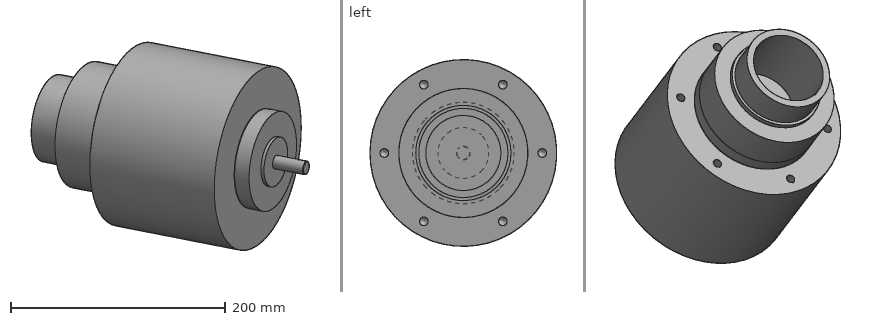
import cadquery as cq
import math

COLLAR_START = 30.0
HUB_START = 35.0
HUB_JOINT = 73.0
DRUM_START = 86.0
DRUM_END = 217.5
BOSS_END = 233.3
PAD_END = 236.5
SHAFT_END = 268.7
NECK_WIDTH = 0.5

NOSE_DIA = 83.3
COLLAR_DIA = 89.0
FRONT_HUB_DIA = 120.5
REAR_HUB_DIA = 120.7
DRUM_DIA = 174.7
BOSS_DIA = 95.0
PAD_DIA = 47.5
SHAFT_DIA = 13.0
BORE_DIA = 70.1
NECK_STEP = 0.3

SHAFT_CHAMFER = 0.5

HOLE_COUNT = 6
HOLE_DIA = 8.0
HOLE_CIRCLE_DIA = 147.5
HOLE_DEPTH = 21.5
DRILL_POINT_ANGLE = 118.0


def turned_body():
    """Stack of coaxial cylinders, each running from the previous one to its own end."""
    sections = [
        (COLLAR_START, NOSE_DIA),
        (HUB_START, COLLAR_DIA),
        (HUB_JOINT, FRONT_HUB_DIA),
        (DRUM_START - NECK_WIDTH, REAR_HUB_DIA),
        (DRUM_START, REAR_HUB_DIA - NECK_STEP),
        (DRUM_END, DRUM_DIA),
        (DRUM_END + NECK_WIDTH, BOSS_DIA - NECK_STEP),
        (BOSS_END, BOSS_DIA),
        (PAD_END, PAD_DIA),
        (SHAFT_END, SHAFT_DIA),
    ]
    profile = cq.Workplane("XY").moveTo(0, 0)
    start = 0
    for end, diameter in sections:
        profile = profile.lineTo(start, diameter / 2).lineTo(end, diameter / 2)
        start = end
    profile = profile.lineTo(SHAFT_END, 0).close()
    return profile.revolve(360, (0, 0, 0), (1, 0, 0))


def nose_bore():
    """Blind bore from the open end of the nose to the hub joint."""
    return cq.Workplane("YZ").circle(BORE_DIA / 2).extrude(HUB_JOINT)


def drilled_hole(y, z):
    """Blind hole with a conical drill point, starting at the front drum face."""
    radius = HOLE_DIA / 2
    point_length = radius / math.tan(math.radians(DRILL_POINT_ANGLE / 2))
    hole = (
        cq.Workplane("XY")
        .lineTo(0, radius)
        .lineTo(HOLE_DEPTH, radius)
        .lineTo(HOLE_DEPTH + point_length, 0)
        .close()
        .revolve(360, (0, 0, 0), (1, 0, 0))
    )
    return hole.translate((DRUM_START, y, z))


result = turned_body().faces(">X").chamfer(SHAFT_CHAMFER)
result = result.cut(nose_bore())

for index in range(HOLE_COUNT):
    angle = 2 * math.pi * index / HOLE_COUNT
    hole_y = HOLE_CIRCLE_DIA / 2 * math.cos(angle)
    hole_z = HOLE_CIRCLE_DIA / 2 * math.sin(angle)
    result = result.cut(drilled_hole(hole_y, hole_z))